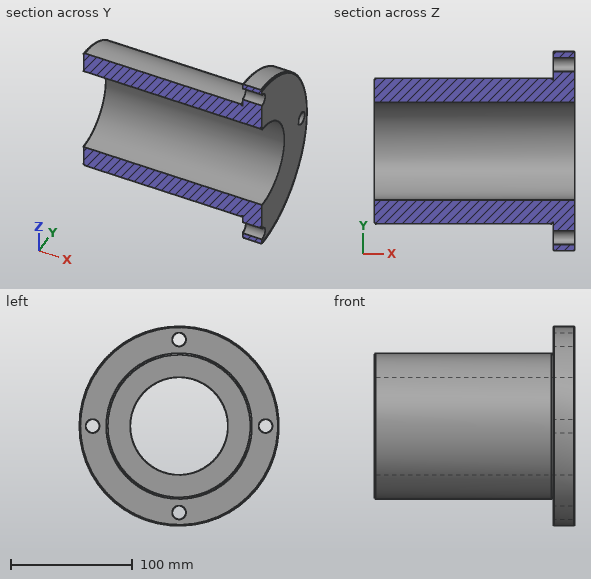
import cadquery as cq

total_length = 165.0
flange_diameter = 164.0
flange_thickness = 18.0
sleeve_diameter = 120.0
bore_diameter = 80.0

bolt_hole_count = 4
bolt_hole_diameter = 11.0
bolt_circle_diameter = 142.0

sleeve_chamfer = 1.5
flange_chamfer = 1.0

sleeve_length = total_length - flange_thickness


def cylinder_along_x(start_x, length, diameter):
    """Solid cylinder on the X axis."""
    return cq.Workplane("YZ", origin=(start_x, 0, 0)).circle(diameter / 2).extrude(length)


def bolt_holes():
    """Through holes spaced evenly around the flange, on the Y and Z axes."""
    return (
        cq.Workplane("YZ", origin=(sleeve_length, 0, 0))
        .polarArray(bolt_circle_diameter / 2, 0, 360, bolt_hole_count)
        .circle(bolt_hole_diameter / 2)
        .extrude(flange_thickness)
    )


def chamfered_cylinder(start_x, length, diameter, chamfer):
    """Cylinder on the X axis with both end rims chamfered."""
    return cylinder_along_x(start_x, length, diameter).faces("<X or >X").edges().chamfer(chamfer)


sleeve = chamfered_cylinder(0, sleeve_length, sleeve_diameter, sleeve_chamfer)
flange = chamfered_cylinder(sleeve_length, flange_thickness, flange_diameter, flange_chamfer)
bore = cylinder_along_x(0, total_length, bore_diameter)

result = sleeve.union(flange).cut(bore).cut(bolt_holes())